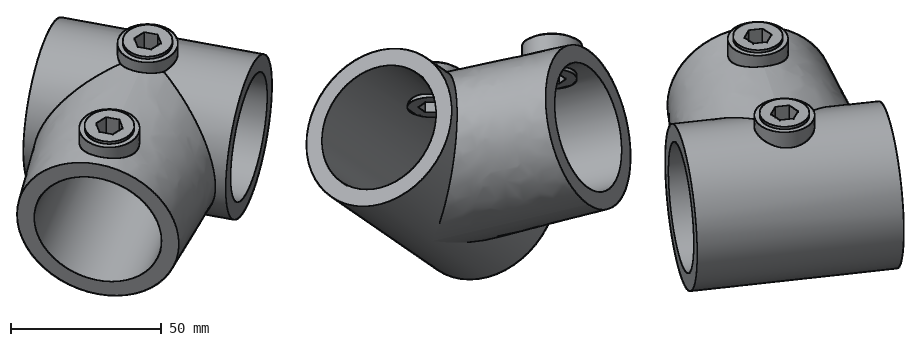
import cadquery as cq
import math

tube_length = 70.0
outer_radius = 28.0
bore_radius = 22.0

overall_depth = 88.0
branch_length = overall_depth - outer_radius
branch_root_half_width = 31.4

boss_diameter = 20.1
boss_top = 32.5
screw_diameter = 16.5
screw_top = 33.5
screw_bottom = 20.6
hex_across_flats = 8.0
hex_across_corners = hex_across_flats / math.cos(math.radians(30))
branch_screw_offset = 46.1
screw_positions = [(0, 0), (0, -branch_screw_offset)]


def vertical_cylinder(position, diameter, bottom, top):
    """Cylinder along Z at an XY position."""
    x, y = position
    return cq.Workplane("XY", origin=(x, y, bottom)).circle(diameter / 2).extrude(top - bottom)


def half_ellipse_wire(center, normal, x_direction, half_width):
    """Closed right half of an upright ellipse, with the straight side through its centre."""
    plane = cq.Plane(origin=center, xDir=x_direction, normal=normal)
    half = cq.Workplane(plane)
    half = half.moveTo(0, -outer_radius)
    half = half.ellipseArc(half_width, outer_radius, -90, 90, startAtCurrent=True)
    return half.close().val()


def make_branch_body():
    """Solid branch, ruled from its end circle to two mitred half ellipses on the main tube."""
    mitre_half_width = math.hypot(branch_root_half_width, outer_radius)
    end_wire = half_ellipse_wire((0, -branch_length, 0), (0, -1, 0), (1, 0, 0), outer_radius)
    mitre_wire = half_ellipse_wire(
        (0, 0, 0),
        (-outer_radius, -branch_root_half_width, 0),
        (branch_root_half_width, -outer_radius, 0),
        mitre_half_width,
    )
    right_half = cq.Workplane(cq.Solid.makeLoft([end_wire, mitre_wire], True))
    return right_half.union(right_half.mirror("YZ"))


def make_housing():
    """Tee fitting with through bores, screw bosses and screw holes."""
    body = cq.Workplane("YZ").circle(outer_radius).extrude(tube_length / 2, both=True)
    body = body.union(make_branch_body())
    for position in screw_positions:
        body = body.union(vertical_cylinder(position, boss_diameter, screw_bottom, boss_top))

    tube_bore = cq.Workplane("YZ").circle(bore_radius).extrude(tube_length / 2, both=True)
    branch_bore = cq.Workplane("XZ").circle(bore_radius).extrude(branch_length)
    body = body.cut(tube_bore).cut(branch_bore)
    for position in screw_positions:
        body = body.cut(vertical_cylinder(position, screw_diameter, screw_bottom, screw_top))
    return body


def make_set_screw(position):
    """Set screw with a hexagonal socket right through it."""
    screw = vertical_cylinder(position, screw_diameter, screw_bottom, screw_top)
    return screw.faces(">Z").workplane().polygon(6, hex_across_corners).cutThruAll()


housing = make_housing()
set_screws = [make_set_screw(position) for position in screw_positions]

housing_solid = housing.solids().val()
screw_solids = [screw.solids().val() for screw in set_screws]
result = cq.Compound.makeCompound([housing_solid, *screw_solids])